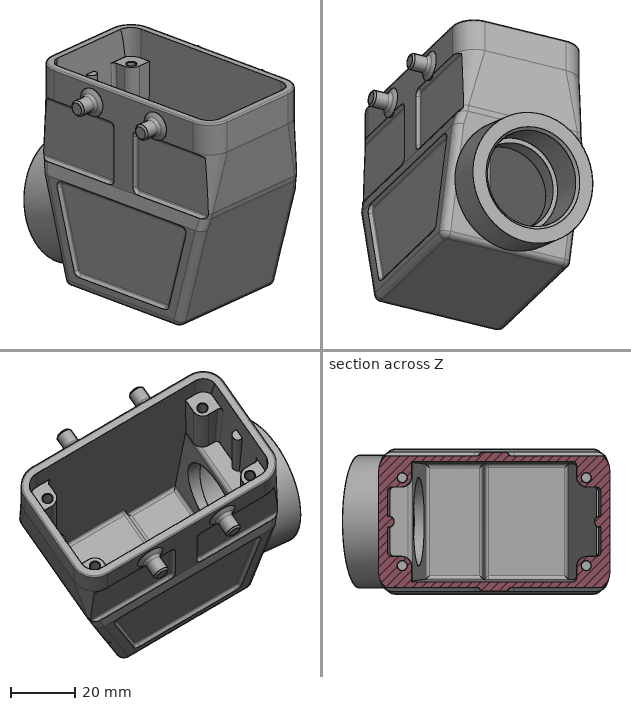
import cadquery as cq
import math

HEIGHT = 71.9
RIM_HALF_X = 36.65
RIM_HALF_Y = 21.6
RIM_CORNER_R = 7.55
RIM_EDGE_R = 0.5
BAND_BOTTOM_Z = 61.2
WAIST_Z = (39.5, 41.3)
WAIST_WIDENING = 0.3
SHOULDER_Z = 35.4
LOWER_HALF_Y = 22.55
LOWER_CORNER_R = 2.7
BOTTOM_EDGE_R = 2.2
BASE_HALF_X = 24.1
SLOPE_DEG = 15.0
SLOPE = math.tan(math.radians(SLOPE_DEG))

PANEL_DEPTH = 1.2
PANEL_TAPER = 40.0
PANEL_FLOOR_R = 0.5
PANEL_CORNER_R = 2.2
UPPER_PANEL_X = 3.9
UPPER_PANEL_Z = (39.6, 61.2)
LOWER_PANEL_Z = (4.5, 35.2)
LOWER_PANEL_HALF_X = 19.45
PANEL_OVERRUN = 8.4

PEG_X = 13.3
PEG_Z = 65.4
PEG_R = 2.6
PEG_TIP_Y = 28.5
PEG_TIP_CHAMFER = 0.6
PEG_FOOT_R = 4.7
PEG_NECK_R = 3.3
PEG_NECK_MID_R = 2.8
PEG_CONE_LENGTH = 0.9
PEG_NECK_LENGTH = 1.1
PEG_ROOT_DEPTH = 1.1

SPIGOT_X = -41.8
SPIGOT_Z = 17.0
SPIGOT_R = 20.7
SPIGOT_LENGTH = 15.1
BORE_R = 15.3
BORE_DEPTH = 13.9
BORE_CHAMFER = 0.9
THROAT_R = 13.75
THROAT_LENGTH = 23.5

CAVITY_HALF_X = 34.0
CAVITY_TOP_HALF_Y = 18.95
CAVITY_FLOOR_HALF_Y = 17.9
CAVITY_CORNER_R = 4.7
CAVITY_WAIST_HALF_X = 32.4
CAVITY_WAIST_Z = 40.25
LEDGE_Z = 38.6
LEDGE_X = -25.5
LEDGE_EDGE_R = 1.5
LOW_FLOOR_Z = 2.9
LOW_FLOOR_END_X = -21.1
HIGH_FLOOR_Z = 6.9
HIGH_FLOOR_END_X = 22.8
STEP_BOTTOM_X = -3.7
STEP_TOP_X = -2.7
FLOOR_EDGE_R = 1.2

POST_TOP_Z = 62.05
POST_X = 25.6
POST_Y = 10.7
POST_CORNER_R = 3.35
SCREW_X = 28.6
SCREW_Y = 13.7
SCREW_R = 1.5
SCREW_CHAMFER = 0.21
SCREW_DEPTH = 16.8
RIB_X = 32.9
RIB_R = 1.8
ROOT_R = 1.2

SIDES = (-1, 1)


def rounded_loft(sections):
    """Straight-sided solid through rounded rectangles (half_x, half_y, corner_r, z)."""
    sketches = []
    for half_x, half_y, corner_r, z in sections:
        outline = cq.Sketch().rect(2 * half_x, 2 * half_y).vertices().fillet(corner_r)
        sketches.append(outline.moved(cq.Location(cq.Vector(0, 0, z))))
    return cq.Workplane("XY").placeSketch(*sketches).loft(ruled=True)


def outer_shell():
    shoulder_x = BASE_HALF_X + SHOULDER_Z * SLOPE
    waist_low, waist_high = WAIST_Z
    waist_low_x = BASE_HALF_X + waist_low * SLOPE
    waist_high_x = waist_low_x + WAIST_WIDENING
    body = rounded_loft([
        (BASE_HALF_X, LOWER_HALF_Y, LOWER_CORNER_R, 0),
        (shoulder_x, LOWER_HALF_Y, LOWER_CORNER_R, SHOULDER_Z),
        (waist_low_x, RIM_HALF_Y, LOWER_CORNER_R, waist_low),
        (waist_high_x, RIM_HALF_Y, LOWER_CORNER_R, waist_high),
        (RIM_HALF_X, RIM_HALF_Y, RIM_CORNER_R, BAND_BOTTOM_Z),
        (RIM_HALF_X, RIM_HALF_Y, RIM_CORNER_R, HEIGHT),
    ])
    body = body.faces("<Z").edges().fillet(BOTTOM_EDGE_R)
    return body.faces(">Z").edges().fillet(RIM_EDGE_R)


def panel(outline, wall_y):
    """Recess with sloping edges cut inward from the -Y wall."""
    sketch = cq.Sketch().polygon(outline + outline[:1]).vertices().fillet(PANEL_CORNER_R)
    plane = cq.Workplane("XZ", origin=(0, -wall_y, 0))
    recess = plane.placeSketch(sketch).extrude(-PANEL_DEPTH, taper=PANEL_TAPER)
    return recess.faces(">Y").edges().fillet(PANEL_FLOOR_R)


def side_panels():
    low_z, high_z = UPPER_PANEL_Z
    outside_x = RIM_HALF_X + PANEL_OVERRUN
    upper = panel([(UPPER_PANEL_X, low_z), (outside_x, low_z),
                   (outside_x, high_z), (UPPER_PANEL_X, high_z)], RIM_HALF_Y)
    low_z, high_z = LOWER_PANEL_Z
    top_half_x = LOWER_PANEL_HALF_X + (high_z - low_z) * SLOPE
    lower = panel([(-LOWER_PANEL_HALF_X, low_z), (LOWER_PANEL_HALF_X, low_z),
                   (top_half_x, high_z), (-top_half_x, high_z)], LOWER_HALF_Y)
    front = upper.union(upper.mirror("YZ")).union(lower)
    return front.union(front.mirror("XZ"))


def peg():
    """Peg along Y with a conical foot."""
    cone_end = RIM_HALF_Y + PEG_CONE_LENGTH
    neck_end = cone_end + PEG_NECK_LENGTH
    return (
        cq.Workplane("XY")
        .moveTo(0, RIM_HALF_Y - PEG_ROOT_DEPTH)
        .lineTo(PEG_FOOT_R, RIM_HALF_Y - PEG_ROOT_DEPTH)
        .lineTo(PEG_FOOT_R, RIM_HALF_Y)
        .lineTo(PEG_NECK_R, cone_end)
        .threePointArc((PEG_NECK_MID_R, (cone_end + neck_end) / 2), (PEG_R, neck_end))
        .lineTo(PEG_R, PEG_TIP_Y - PEG_TIP_CHAMFER)
        .lineTo(PEG_R - PEG_TIP_CHAMFER, PEG_TIP_Y)
        .lineTo(0, PEG_TIP_Y)
        .close()
        .revolve(360, (0, 0, 0), (0, 1, 0))
    )


def spigot_plane():
    axis = (math.cos(math.radians(SLOPE_DEG)), 0, math.sin(math.radians(SLOPE_DEG)))
    return cq.Workplane(cq.Plane((SPIGOT_X, 0, SPIGOT_Z), xDir=(0, 1, 0), normal=axis))


def spigot_bore():
    bore = spigot_plane().circle(BORE_R).extrude(BORE_DEPTH)
    throat = spigot_plane().circle(THROAT_R).extrude(THROAT_LENGTH)
    mouth = spigot_plane().circle(BORE_R + BORE_CHAMFER).extrude(BORE_CHAMFER, taper=45)
    return bore.union(throat).union(mouth)


def corner_posts():
    post = (
        cq.Workplane("XY")
        .box(CAVITY_HALF_X, CAVITY_TOP_HALF_Y, POST_TOP_Z, centered=False)
        .edges("|Z and <X and <Y")
        .fillet(POST_CORNER_R)
        .translate((POST_X, POST_Y, 0))
    )
    pair = post.union(post.mirror("YZ"))
    return pair.union(pair.mirror("XZ"))


def edges_near(solid, centre, reach):
    """Edges whose middle lies within a box reaching (x, y, z) from its centre."""
    low = tuple(c - r for c, r in zip(centre, reach))
    high = tuple(c + r for c, r in zip(centre, reach))
    return solid.edges(cq.selectors.BoxSelector(low, high))


def round_post_roots(room, side):
    """Rounds the upright corners where the posts on one Y side meet the cavity walls."""
    post_y = side * POST_Y
    wall_y = side * (CAVITY_TOP_HALF_Y + CAVITY_FLOOR_HALF_Y) / 2
    upright_z = (LEDGE_Z + POST_TOP_Z) / 2
    right_z = (HIGH_FLOOR_Z + POST_TOP_Z) / 2
    room = edges_near(room, (POST_X, wall_y, right_z), (0.3, 0.7, 12.6)).fillet(ROOT_R)
    room = edges_near(room, (CAVITY_WAIST_HALF_X, post_y, upright_z), (1.2, 0.4, 2.5)).fillet(ROOT_R)
    return edges_near(room, (-CAVITY_WAIST_HALF_X, post_y, upright_z), (1.2, 0.4, 2.5)).fillet(ROOT_R)


def cavity():
    slope_top_x = HIGH_FLOOR_END_X + (CAVITY_WAIST_Z - HIGH_FLOOR_Z) * SLOPE
    profile = (
        cq.Workplane("XZ")
        .polyline([
            (-CAVITY_HALF_X, HEIGHT),
            (-CAVITY_WAIST_HALF_X, LEDGE_Z),
            (LEDGE_X, LEDGE_Z),
            (LOW_FLOOR_END_X, LOW_FLOOR_Z),
            (STEP_BOTTOM_X, LOW_FLOOR_Z),
            (STEP_TOP_X, HIGH_FLOOR_Z),
            (HIGH_FLOOR_END_X, HIGH_FLOOR_Z),
            (slope_top_x, CAVITY_WAIST_Z),
            (CAVITY_WAIST_HALF_X, CAVITY_WAIST_Z),
            (CAVITY_HALF_X, HEIGHT),
        ])
        .close()
        .extrude(LOWER_HALF_Y, both=True)
    )
    room = rounded_loft([
        (CAVITY_HALF_X, CAVITY_FLOOR_HALF_Y, CAVITY_CORNER_R, LOW_FLOOR_Z),
        (CAVITY_HALF_X, CAVITY_TOP_HALF_Y, CAVITY_CORNER_R, HEIGHT),
    ])
    room = room.intersect(profile)
    ledge_edge = cq.selectors.NearestToPointSelector((LEDGE_X, 0, LEDGE_Z))
    room = room.edges(ledge_edge).fillet(LEDGE_EDGE_R)
    room = room.faces("<Z").edges().fillet(FLOOR_EDGE_R)
    high_floor = cq.selectors.NearestToPointSelector((HIGH_FLOOR_END_X / 2, 0, HIGH_FLOOR_Z))
    room = room.faces(high_floor).edges().fillet(FLOOR_EDGE_R)
    room = room.cut(corner_posts())
    for side in SIDES:
        rib = cq.Workplane("XY").center(side * RIB_X, 0).circle(RIB_R).extrude(POST_TOP_Z)
        room = room.cut(rib)
    for side in SIDES:
        room = round_post_roots(room, side)
    return room


def screw_holes():
    centres = [(x * SCREW_X, y * SCREW_Y) for x in SIDES for y in SIDES]
    top = cq.Workplane("XY", origin=(0, 0, POST_TOP_Z)).pushPoints(centres)
    holes = top.circle(SCREW_R).extrude(-SCREW_DEPTH)
    countersinks = top.circle(SCREW_R + SCREW_CHAMFER).extrude(-SCREW_CHAMFER, taper=45)
    return holes.union(countersinks)


result = outer_shell().cut(side_panels())
for x_side in SIDES:
    for y_side in SIDES:
        turn = 0 if y_side > 0 else 180
        placed_peg = peg().rotate((0, 0, 0), (0, 0, 1), turn).translate((x_side * PEG_X, 0, PEG_Z))
        result = result.union(placed_peg)
result = result.union(spigot_plane().circle(SPIGOT_R).extrude(SPIGOT_LENGTH))
result = result.cut(cavity()).cut(spigot_bore()).cut(screw_holes())